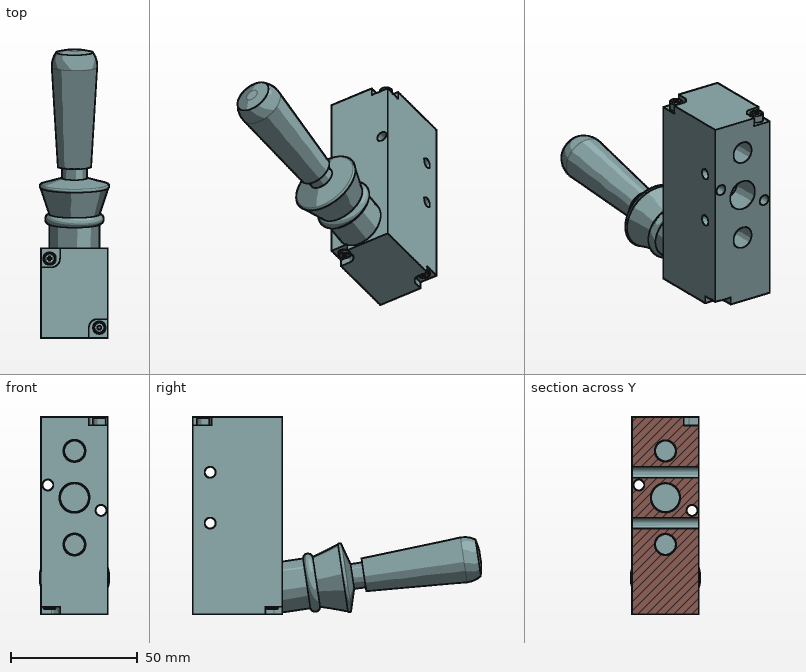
import cadquery as cq
import math

body_width = 26.5
body_depth = 35.5
body_height = 78.0

port_center_z = 46.1
port_spacing = 18.5
outer_port_diameter = 8.8
center_port_diameter = 12.0
port_depth = 11.4
port_taper = 1 / 16
through_hole_diameter = 4.2
front_hole_x = 10.5
front_hole_offset_z = 5.0
side_hole_offset_z = 10.0
side_hole_setback = 7.0

recess_width = 7.5
top_recess_length = 7.5
bottom_recess_length = 6.8
recess_radius = 3.4
top_recess_depth = 3.4
bottom_recess_depth = 3.1

head_diameter = 5.0
head_chamfer = 0.6
bottom_head_height = 1.0
screw_inset_x = 3.4
screw_inset_y = 4.1
cross_length = 1.7
cross_width = 0.7
cross_depth = 0.6

lever_tilt = 8.5
lever_z = 10.8
boot_radius = 20.0 / 2
boot_embed = 2.3
bead_start = 9.7
bead_end = 13.6
bead_radius = 11.6
lip_radius = 27.6 / 2
lip_station = 24.9
lip_round = 0.7
stem_start = 27.9
stem_radius = 10.0 / 2
grip_start = 32.5
grip_small_radius = 6.6
grip_end = 72.3
grip_big_radius = 9.0
dome_start = 78.1
dome_radius = 7.3
tip_station = 79.0
tip_flat_radius = 5.0 / 2
dome_bulge = 0.1


def front_port(diameter, z):
    """Tapered blind bore going into the front face."""
    mouth_radius = diameter / 2
    floor_radius = mouth_radius - port_depth * port_taper / 2
    return cq.Workplane(
        cq.Solid.makeCone(
            mouth_radius, floor_radius, port_depth, cq.Vector(0, -body_depth, z), cq.Vector(0, 1, 0)
        )
    )


def through_hole(start, direction, length):
    """Plain round hole cutter."""
    return cq.Workplane(
        cq.Solid.makeCylinder(through_hole_diameter / 2, length, cq.Vector(*start), cq.Vector(*direction))
    )


def corner_recess(side_x, at_front, floor_z, depth, length):
    """Cutter for a corner step whose inner vertical edge is rounded."""
    corner_x = side_x * body_width / 2
    inner_y = -body_depth + length / 2 if at_front else -length / 2
    return (
        cq.Workplane("XY", origin=(corner_x - side_x * recess_width / 2, inner_y, floor_z))
        .rect(recess_width, length)
        .extrude(depth)
        .edges("|Z and {}X and {}Y".format("<" if side_x > 0 else ">", ">" if at_front else "<"))
        .fillet(recess_radius)
    )


def screw_head(side_x, at_front, seat_z, height):
    """Chamfered head with a cross slot; a negative height points it down."""
    x = side_x * (body_width / 2 - screw_inset_x)
    y = -body_depth + screw_inset_y if at_front else -screw_inset_y
    outer_face = ">Z" if height > 0 else "<Z"
    head = (
        cq.Workplane("XY", origin=(x, y, seat_z))
        .circle(head_diameter / 2)
        .extrude(height)
        .faces(outer_face)
        .edges()
        .chamfer(head_chamfer)
    )
    slot_plane = cq.Workplane("XY", origin=(x, y, seat_z + height))
    slot_depth = math.copysign(cross_depth, -height)
    for size in ((cross_length, cross_width), (cross_width, cross_length)):
        head = head.cut(slot_plane.rect(*size).extrude(slot_depth))
    return head


def lever():
    """Boot, stem and grip turned about one axis, then tilted upward."""
    dome_mid_radius = (dome_radius + tip_flat_radius) / 2
    dome_mid_station = (dome_start + tip_station) / 2 + dome_bulge
    profile = (
        cq.Workplane("XY")
        .moveTo(0, -boot_embed)
        .lineTo(boot_radius, -boot_embed)
        .lineTo(boot_radius, bead_start)
        .threePointArc((bead_radius, (bead_start + bead_end) / 2), (boot_radius, bead_end))
        .lineTo(lip_radius - lip_round / 2, lip_station - lip_round)
        .threePointArc((lip_radius, lip_station), (lip_radius - lip_round, lip_station + lip_round))
        .lineTo(stem_radius, stem_start)
        .lineTo(stem_radius, grip_start)
        .lineTo(grip_small_radius, grip_start)
        .lineTo(grip_big_radius, grip_end)
        .tangentArcPoint((dome_radius, dome_start), relative=False)
        .threePointArc((dome_mid_radius, dome_mid_station), (tip_flat_radius, tip_station))
        .lineTo(0, tip_station)
        .close()
    )
    turned = profile.revolve(360, (0, 0, 0), (0, 1, 0))
    return turned.rotate((0, 0, 0), (1, 0, 0), lever_tilt).translate((0, 0, lever_z))


body = cq.Workplane("XY").box(body_width, body_depth, body_height, centered=(True, True, False))
body = body.translate((0, -body_depth / 2, 0))
body = body.union(lever())

body = body.cut(front_port(center_port_diameter, port_center_z))
for side in (-1, 1):
    body = body.cut(front_port(outer_port_diameter, port_center_z + side * port_spacing))
    front_hole = (side * front_hole_x, -body_depth, port_center_z - side * front_hole_offset_z)
    body = body.cut(through_hole(front_hole, (0, 1, 0), body_depth))
    side_hole = (-body_width / 2, side_hole_setback - body_depth, port_center_z + side * side_hole_offset_z)
    body = body.cut(through_hole(side_hole, (1, 0, 0), body_width))

top_seat = body_height - top_recess_depth
for side, at_front in ((-1, False), (1, True)):
    body = body.cut(corner_recess(side, at_front, top_seat, top_recess_depth, top_recess_length))
    body = body.union(screw_head(side, at_front, top_seat, top_recess_depth))
for side, at_front in ((-1, True), (1, False)):
    body = body.cut(corner_recess(side, at_front, 0, bottom_recess_depth, bottom_recess_length))
    body = body.union(screw_head(side, at_front, bottom_recess_depth, -bottom_head_height))

result = body